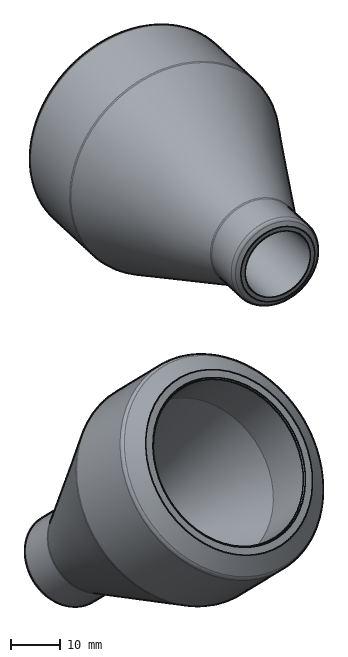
import cadquery as cq
import math

total_length = 64.0
large_straight_length = 20.0
small_straight_length = 10.0
large_outer_radius = 48.3 / 2
large_bore_radius = 35.7 / 2
small_outer_radius = 20.0 / 2
small_bore_radius = 15.0 / 2

large_land_width = 2.0
small_land_width = 1.0
bevel_angle = 30.0
blend_radius = 1.0

large_bore_length = 12.0
taper_length = total_length - large_straight_length - small_straight_length
mouth_chamfer = 0.3


def bevel_depth(outer_radius, bore_radius, land_width):
    """Axial depth of the weld bevel, before its outer edge is rounded."""
    bevel_height = outer_radius - bore_radius - land_width
    return bevel_height * math.tan(math.radians(bevel_angle))


def revolve_about_x(points):
    """Solid of revolution from a closed half section of (axial, radial) points."""
    half_section = cq.Workplane("XZ").polyline(points).close()
    return half_section.revolve(360, (0, 0, 0), (1, 0, 0))


def outer_body():
    """Solid outside shape, with every edge between the end faces rounded."""
    large_bevel = bevel_depth(large_outer_radius, large_bore_radius, large_land_width)
    small_bevel = bevel_depth(small_outer_radius, small_bore_radius, small_land_width)
    body = revolve_about_x([
        (0, 0),
        (0, large_bore_radius + large_land_width),
        (large_bevel, large_outer_radius),
        (large_straight_length, large_outer_radius),
        (total_length - small_straight_length, small_outer_radius),
        (total_length - small_bevel, small_outer_radius),
        (total_length, small_bore_radius + small_land_width),
        (total_length, 0),
    ])
    blended_edges = body.edges("%CIRCLE").edges("not(<X or >X)")
    return blended_edges.fillet(blend_radius)


def bore():
    """Through bore, chamfered at the mouth of the large end."""
    return revolve_about_x([
        (0, 0),
        (0, large_bore_radius + mouth_chamfer),
        (mouth_chamfer, large_bore_radius),
        (large_bore_length, large_bore_radius),
        (large_bore_length + taper_length, small_bore_radius),
        (total_length, small_bore_radius),
        (total_length, 0),
    ])


result = outer_body().cut(bore())